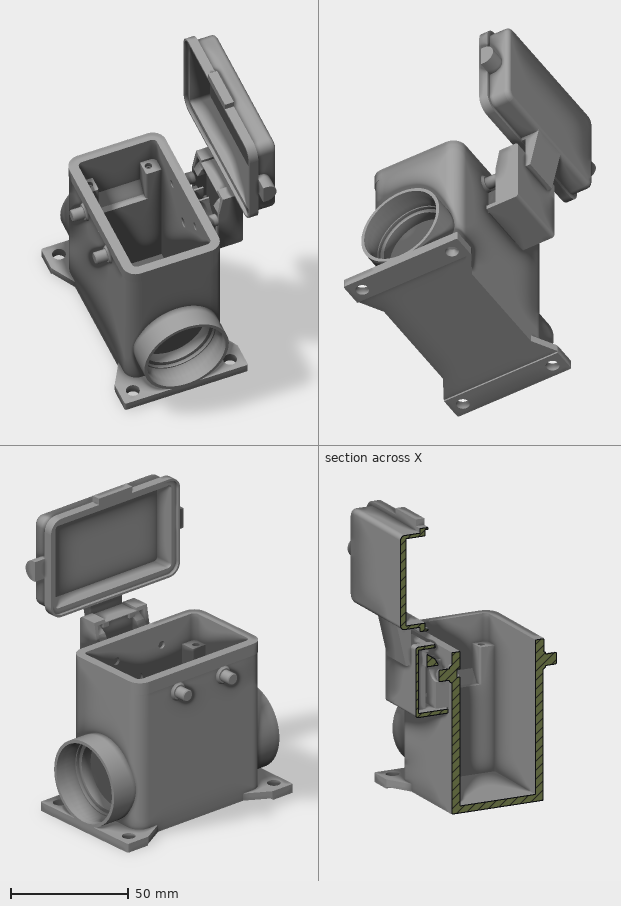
import cadquery as cq


body_half_x = 35.5
body_half_y = 22.1
body_bottom = 0.8
body_top = 73.2
body_corner = 6.0
rim_height = 5.5
rim_lip = 0.4
cavity_half_x = 31.4
cavity_half_y = 18.0
cavity_corner = 2.1
floor_thickness = 3.3

foot_half_x = 93.5 / 2
foot_half_y = 28.5
foot_thickness = 4.1
foot_taper_x = 35.2
foot_inner_x = 24.1
foot_corner = 0.8
foot_pad_x = 35.5
foot_hole_x = 41.0
foot_hole_y = 22.5
foot_hole_diameter = 5.9

port_z = 22.6
port_radius = 19.5
port_mouth_radius = 18.0
port_seat_radius = 17.5
port_bore_radius = 15.8
port_mouth_depth = 10.7
port_seat_depth = 12.3
port_bore_depth = 17.4
port_inner_x = 30.8

post_size = 7.1
post_top = 60.5
post_corner = 0.8
post_hole_x = 28.4
post_hole_y = 13.6
post_hole_diameter = 3.2
post_hole_depth = 2.0
post_pilot_diameter = 1.9
post_pilot_depth = 10.7
pad_top = 49.4
pad_ledge = 43.9
pad_slope_width = 4.0

pin_x = 25.5 / 2
pin_z = 63.5
pin_radius = 2.7
pin_front_tip = 28.5
pin_chamfer = 0.4
collar_radius = 4.1
collar_end_radius = 3.3
collar_length = 1.1
pin_recess_radius = 1.7
screw_recess_radius = 2.3
screw_recess_z = 51.9
recess_depth = 1.3

bracket_half_x = 14.8
bracket_back = 39.5
bracket_front = 28.2
bracket_bottom = 46.3
bracket_top = 78.0
bracket_top_front = 30.1
bracket_slope_z = 68.3
bracket_wall = 1.6
bracket_corner = 1.5
shelf_thickness = 2.0
shelf_front = 23.7
knuckle_half_x = 8.8
knuckle_front = 31.0
knuckle_top = 76.6
knuckle_edge = 0.7
knuckle_recess_half_x = 11.6 / 2
knuckle_recess_depth = 1.3
knuckle_lip = 0.8
knuckle_lobe_bottom = 73.5
wedge_top = 74.2
wedge_front_z = 71.5
wedge_back = 34.1
lug_inner_x = 2.7
lug_outer_x = 10.7
lug_end = 28.5
lug_top = 67.4
lug_peak_width = 0.8
lug_bridge_top = 51.2

lid_front = 33.3
lid_back = 46.8
lid_z = 107.7
flange_thickness = 4.1
flange_half_x = 36.5
flange_half_z = 23.1
flange_corner = 6.0
dome_inset = 2.0
dome_edge = 2.1
seat_inset = 1.0
seat_depth = 1.5
lid_cavity_inset = 3.7
lid_cavity_corner = 1.6
lid_cavity_depth = 10.7
tab_half_x = 9.4
tab_top = 133.8
trunnion_half_x = 42.0
trunnion_radius = 9.2 / 2
trunnion_length = 6.2
arm_bottom = 68.7
arm_bottom_back = 41.9
arm_step_z = 84.9
arm_top = 87.6
arm_top_back = 46.3


def block(x0, x1, y0, y1, z0, z1):
    return cq.Workplane("XY").box(x1 - x0, y1 - y0, z1 - z0, centered=False).translate((x0, y0, z0))


def rounded_block(half_x, y0, y1, z0, z1, corner):
    return block(-half_x, half_x, y0, y1, z0, z1).edges("|Z").fillet(corner)


def profile_x(points, x0, x1):
    """Extrude a (y, z) outline from x0 to x1."""
    return cq.Workplane("YZ", origin=(x0, 0, 0)).polyline(points).close().extrude(x1 - x0)


def rod_x(radius, x0, x1, y, z):
    return cq.Workplane("YZ", origin=(x0, y, z)).circle(radius).extrude(x1 - x0)


def both_sides(shape):
    """Join a shape to its mirror image across the YZ plane."""
    return shape.union(shape.mirror("YZ"))


def four_corners(shape):
    half = both_sides(shape)
    return half.union(half.mirror("XZ"))


def make_body():
    shell = rounded_block(body_half_x, -body_half_y, body_half_y, body_bottom, body_top, body_corner)
    rim = rounded_block(
        body_half_x, -body_half_y - rim_lip, body_half_y, body_top - rim_height, body_top, body_corner
    )
    return shell.union(rim)


def make_cavity():
    return rounded_block(
        cavity_half_x, -cavity_half_y, cavity_half_y, body_bottom + floor_thickness, body_top, cavity_corner
    )


def make_foot():
    """Mounting foot on the +X side with two tapered ears."""
    outline = [
        (foot_inner_x, -body_half_y),
        (foot_taper_x, -foot_half_y),
        (foot_half_x, -foot_half_y),
        (foot_half_x, foot_half_y),
        (foot_taper_x, foot_half_y),
        (foot_inner_x, body_half_y),
    ]
    foot = cq.Workplane("XY").polyline(outline).close().extrude(foot_thickness)
    foot = foot.edges("|Z and >X").fillet(foot_corner)
    sole_relief = block(foot_inner_x, foot_pad_x, -foot_half_y, foot_half_y, 0, body_bottom)
    holes = (
        cq.Workplane("XY")
        .pushPoints([(foot_hole_x, -foot_hole_y), (foot_hole_x, foot_hole_y)])
        .circle(foot_hole_diameter / 2)
        .extrude(foot_thickness)
    )
    return foot.cut(sole_relief).cut(holes)


def make_port_bore():
    """Blind stepped bore of the +X port."""
    steps = [
        (port_mouth_radius, port_mouth_depth),
        (port_seat_radius, port_seat_depth),
        (port_bore_radius, port_bore_depth),
    ]
    bore = cq.Workplane("YZ")
    for radius, depth in steps:
        bore = bore.union(rod_x(radius, foot_half_x - depth, foot_half_x, 0, port_z))
    return bore


def make_port_pad():
    """Thickened wall between the two +X posts, sloping down from the cavity wall."""
    floor_z = body_bottom
    inner_x = cavity_half_x - post_size
    outline = [
        (cavity_half_x, floor_z),
        (cavity_half_x, pad_top),
        (cavity_half_x - pad_slope_width, pad_ledge),
        (inner_x, pad_ledge),
        (inner_x, floor_z),
    ]
    return (
        cq.Workplane("XZ", origin=(0, cavity_half_y, 0))
        .polyline(outline)
        .close()
        .extrude(2 * cavity_half_y)
    )


def make_post():
    """Corner post for a fixing screw, rooted in the +X +Y corner walls."""
    post = block(
        cavity_half_x - post_size, body_half_x - body_corner / 2,
        cavity_half_y - post_size, body_half_y - body_corner / 2,
        body_bottom, post_top,
    )
    return post.edges("|Z and <X and <Y").fillet(post_corner)


def make_post_hole():
    """Screw hole down the post, wider at its mouth."""
    mouth = cq.Workplane("XY", origin=(post_hole_x, post_hole_y, post_top))
    pilot = mouth.circle(post_pilot_diameter / 2).extrude(-post_pilot_depth)
    return pilot.union(mouth.circle(post_hole_diameter / 2).extrude(-post_hole_depth))


def make_pin(tip_y):
    """Front or rear locking pin on the +X side, with its conical collar at the wall."""
    length = abs(tip_y) - body_half_y
    base = cq.Workplane("XZ", origin=(pin_x, -body_half_y, pin_z))
    pin = base.circle(pin_radius).extrude(length).faces("<Y").chamfer(pin_chamfer)
    collar = base.circle(collar_radius).workplane(offset=collar_length).circle(collar_end_radius).loft()
    pin = pin.union(collar)
    return pin if tip_y < 0 else pin.mirror("XZ")


def make_wall_recess(radius, x, z):
    """Shallow round recess in the inner face of the rear wall."""
    return (
        cq.Workplane("XZ", origin=(x, cavity_half_y + recess_depth, z))
        .circle(radius)
        .extrude(recess_depth)
    )


def make_bracket():
    outline = [
        (bracket_back, bracket_bottom),
        (bracket_back, bracket_top),
        (bracket_top_front, bracket_top),
        (bracket_front, bracket_slope_z),
        (bracket_front, bracket_bottom),
    ]
    shelf_top = bracket_bottom + shelf_thickness
    cover = profile_x(outline, -bracket_half_x, bracket_half_x)
    cover = cover.edges("|X and >Y").fillet(bracket_corner)
    inner_half_x = bracket_half_x - bracket_wall
    hollow = block(
        -inner_half_x, inner_half_x, bracket_front, bracket_back - bracket_wall,
        shelf_top, bracket_top - bracket_wall,
    )
    top_gap = block(
        -knuckle_half_x, knuckle_half_x, bracket_front, bracket_back,
        knuckle_top, bracket_top,
    )
    shelf = block(
        -bracket_half_x, bracket_half_x, shelf_front, bracket_front, bracket_bottom, shelf_top
    )
    return cover.cut(hollow).cut(top_gap).union(shelf)


def make_knuckle():
    """Central hinge block with a recessed front, and a sloping wedge on each side of it."""
    shelf_top = bracket_bottom + shelf_thickness
    knuckle = block(
        -knuckle_half_x, knuckle_half_x, knuckle_front, bracket_back, shelf_top, knuckle_top
    )
    knuckle = knuckle.edges("|X and <Y and >Z").chamfer(knuckle_edge)
    recess = block(
        -knuckle_recess_half_x, knuckle_recess_half_x,
        knuckle_front, knuckle_front + knuckle_recess_depth,
        shelf_top, knuckle_top - knuckle_lip,
    )
    lower_recess = block(
        -knuckle_half_x, knuckle_half_x, knuckle_front, knuckle_front + knuckle_recess_depth,
        shelf_top, knuckle_lobe_bottom,
    )
    wedge_outline = [
        (wedge_back, bracket_slope_z),
        (wedge_back, wedge_top),
        (bracket_top_front, wedge_front_z),
        (bracket_front, bracket_slope_z),
    ]
    wedge = profile_x(wedge_outline, knuckle_half_x, bracket_half_x - bracket_wall)
    return knuckle.cut(recess).cut(lower_recess).union(both_sides(wedge))


def make_lugs():
    """Two spacers between the rear wall and the bracket, each with a concave outer flank."""
    base_z = bracket_bottom + shelf_thickness
    peak_x = lug_inner_x + lug_peak_width
    flank_radius = lug_outer_x - peak_x
    lug = (
        cq.Workplane("XZ", origin=(0, lug_end, 0))
        .moveTo(lug_inner_x, base_z)
        .lineTo(lug_inner_x, lug_top)
        .lineTo(peak_x, lug_top)
        .radiusArc((lug_outer_x, lug_top - flank_radius), -flank_radius)
        .lineTo(lug_outer_x, base_z)
        .close()
        .extrude(lug_end - body_half_y)
    )
    bridge = block(-lug_inner_x, lug_inner_x, body_half_y, lug_end, base_z, lug_bridge_top)
    return both_sides(lug).union(bridge)


def lid_layer(inset, y0, y1, corner):
    """Rounded rectangle in the lid plane, inset from the flange outline."""
    half_x = flange_half_x - inset
    half_z = flange_half_z - inset
    layer = block(-half_x, half_x, y0, y1, lid_z - half_z, lid_z + half_z)
    return layer.edges("|Y").fillet(corner)


def make_trunnions():
    """D-shaped pegs on both ends of the lid, flat towards the flange."""
    flange_back = lid_front + flange_thickness
    axis_y = flange_back + trunnion_length - trunnion_radius
    pegs = rod_x(trunnion_radius, -trunnion_half_x, trunnion_half_x, axis_y, lid_z)
    pegs = pegs.union(block(
        -trunnion_half_x, trunnion_half_x, flange_back, axis_y,
        lid_z - trunnion_radius, lid_z + trunnion_radius,
    ))
    return pegs.cut(block(
        -trunnion_half_x, trunnion_half_x, lid_front, flange_back,
        lid_z - trunnion_radius, lid_z + trunnion_radius,
    ))


def make_lid():
    flange_back = lid_front + flange_thickness
    flange = lid_layer(0, lid_front, flange_back, flange_corner)
    dome = lid_layer(dome_inset, lid_front, lid_back, flange_corner - dome_inset)
    dome = dome.faces(">Y").edges().fillet(dome_edge)
    tab = block(-tab_half_x, tab_half_x, lid_front, flange_back, lid_z, tab_top)
    arm = profile_x(
        [
            (bracket_back, arm_bottom),
            (arm_bottom_back, arm_bottom),
            (arm_top_back, arm_top),
            (arm_top_back - dome_edge, arm_top + dome_edge),
            (flange_back, arm_top + dome_edge),
            (flange_back, arm_step_z),
            (bracket_back, arm_step_z),
        ],
        -knuckle_half_x, knuckle_half_x,
    )
    seat = lid_layer(seat_inset, lid_front, lid_front + seat_depth, flange_corner - seat_inset)
    cavity = lid_layer(lid_cavity_inset, lid_front, lid_front + lid_cavity_depth, lid_cavity_corner)
    lid = flange.union(dome).union(tab).union(make_trunnions()).union(arm)
    return lid.cut(seat).cut(cavity)


housing = make_body().cut(make_cavity())
housing = housing.union(both_sides(make_port_pad())).union(four_corners(make_post()))
housing = housing.union(both_sides(make_foot()))
housing = housing.union(both_sides(rod_x(port_radius, port_inner_x, foot_half_x, 0, port_z)))
housing = housing.cut(both_sides(make_port_bore())).cut(four_corners(make_post_hole()))
for recess_x in (-pin_x, pin_x):
    housing = housing.cut(make_wall_recess(pin_recess_radius, recess_x, pin_z))
housing = housing.cut(make_wall_recess(screw_recess_radius, 0, screw_recess_z))
housing = housing.union(both_sides(make_pin(-pin_front_tip)))
housing = housing.union(both_sides(make_pin(bracket_front)))

hinge = make_bracket().union(make_knuckle()).union(make_lugs())
result = housing.union(hinge).union(make_lid())